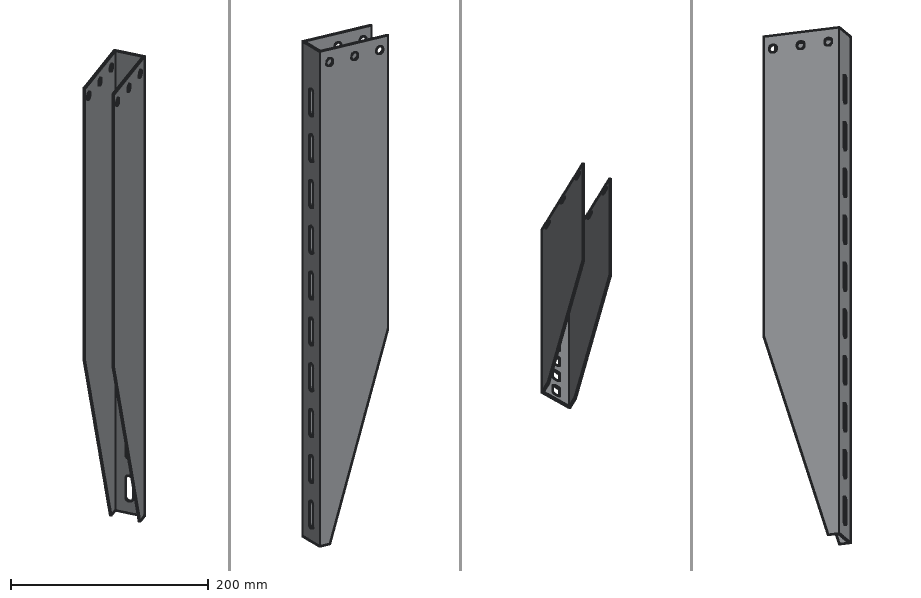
import cadquery as cq

width = 33.0
depth = 81.91
height = 540.0
thickness = 1.5

foot_depth = 12.2
taper_height = 220.0

slot_count = 10
slot_pitch = 50.0
slot_length = 30.0
hole_diameter = 8.2
lowest_slot_height = 29.0

flange_hole_count = 3
flange_hole_pitch = 30.0
flange_hole_to_front = 10.0
flange_hole_to_top = 14.0


def channel():
    """Straight U-channel, centred on X, with its back face at Y = depth."""
    outer = cq.Workplane("XY").box(width, depth, height, centered=(True, False, False))
    inside = cq.Workplane("XY").box(
        width - 2 * thickness, depth - thickness, height, centered=(True, False, False)
    )
    return outer.cut(inside)


def taper_cut():
    """Triangular wedge that narrows both flanges towards the foot."""
    return (
        cq.Workplane("YZ")
        .moveTo(0, 0)
        .lineTo(depth - foot_depth, 0)
        .lineTo(0, taper_height)
        .close()
        .extrude(width / 2, both=True)
    )


def web_slots():
    """Cutters for the vertical slots in the web."""
    slot_centers = [(0, lowest_slot_height + i * slot_pitch) for i in range(slot_count)]
    return (
        cq.Workplane("XZ", origin=(0, depth, 0))
        .pushPoints(slot_centers)
        .slot2D(slot_length, hole_diameter, angle=90)
        .extrude(thickness)
    )


def flange_holes():
    """Cutters for the holes that pass through both flanges."""
    hole_centers = [
        (flange_hole_to_front + i * flange_hole_pitch, height - flange_hole_to_top)
        for i in range(flange_hole_count)
    ]
    return (
        cq.Workplane("YZ")
        .pushPoints(hole_centers)
        .circle(hole_diameter / 2)
        .extrude(width / 2, both=True)
    )


result = channel().cut(taper_cut()).cut(web_slots()).cut(flange_holes())